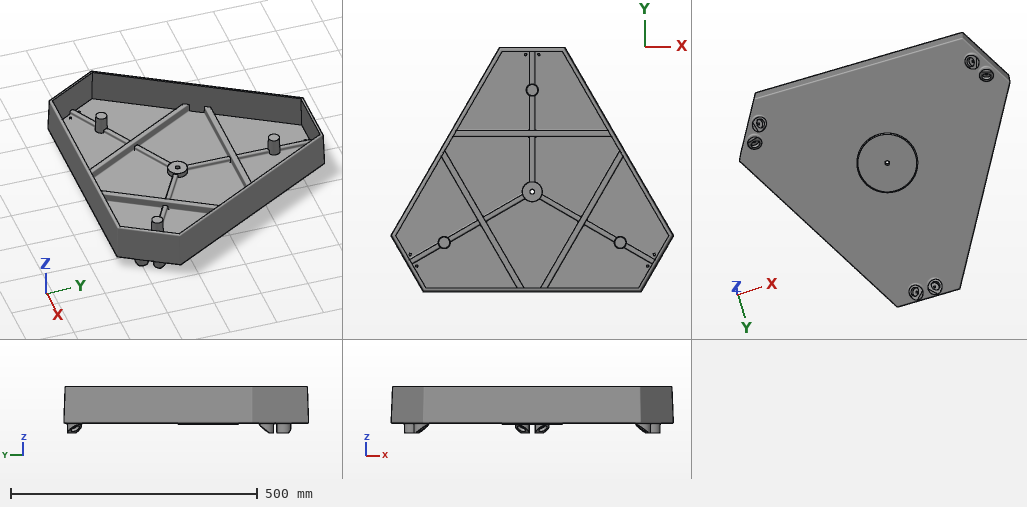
import cadquery as cq
import math

overall_width = 572.5
long_side_distance = 204.0
corner_radius = 3.0
rim_height = 75.0
draft_angle = 2
wall = 6.5
floor = 5.0
edge_radius = 3.0

hub_radius = 20.5
hub_height = 10.5
hub_hole_radius = 4.5
post_radius = 12.5
post_height = 35.5
post_distance = 206

spoke_width = 10.5
spoke_height = 8.0
spoke_fillet = 2.5
cross_rib_width = 12.0
cross_rib_height = 17
cross_rib_distance = 118.0
cross_rib_fillet = 2.0

pad_radius = 62.0
pad_height = 3.0
pad_chamfer = 2.5

foot_radius = 14.5
foot_height = 20.0
foot_flare = 3.5
foot_spacing = 40
foot_distance = 271.5
foot_direction = 45
cut_angle = 37
pocket_radius = 9.0
pocket_depth = 7.0
pocket_shift = 3.0
screw_radius = 2.0
screw_length = 28.5

root3 = math.sqrt(3)
draft_slope = math.tan(math.radians(draft_angle))
tip_overshoot = corner_radius * (2 / root3 - 1) + edge_radius * draft_slope
short_side_distance = root3 * (overall_width / 2 + tip_overshoot) - long_side_distance
three_turns = (0, 120, 240)
arc_middle = 1 - math.sqrt(0.5)


def outline(inset):
    """Corner points of the tray outline, moved inwards by inset."""
    short = short_side_distance - inset
    half_length = (2 * (long_side_distance - inset) - short) / root3
    points = []
    for turn in three_turns:
        c = math.cos(math.radians(turn))
        s = math.sin(math.radians(turn))
        for x in (half_length, -half_length):
            points.append((x * c - short * s, x * s + short * c))
    return points


def three_times(body):
    """The body and its two copies turned about the hub axis."""
    copies = body
    for turn in three_turns[1:]:
        copies = copies.union(body.rotate((0, 0, 0), (0, 0, 1), turn))
    return copies


def make_shell():
    outer = cq.Workplane().polyline(outline(0)).close().extrude(rim_height, taper=draft_angle)
    outer = outer.edges("not #Z").fillet(corner_radius)
    return outer.faces("<Z or >Z").edges().fillet(edge_radius)


def make_cavity():
    return (
        cq.Workplane()
        .workplane(offset=floor)
        .polyline(outline(wall))
        .close()
        .extrude(rim_height - floor, taper=draft_angle)
    )


def make_rib(width, height, fillet):
    """Straight rib from the hub axis along +Y, rounded on top and blended into the floor."""
    side = width / 2
    top = floor + height
    mid = fillet * arc_middle
    half = (
        cq.Workplane("XZ")
        .lineTo(side + fillet, 0)
        .lineTo(side + fillet, floor)
        .threePointArc((side + mid, floor + mid), (side, floor + fillet))
        .lineTo(side, top - fillet)
        .threePointArc((side - mid, top - mid), (side - fillet, top))
        .lineTo(0, top)
        .close()
        .extrude(-overall_width)
    )
    return half.union(half.mirror("YZ"))


def make_ribs():
    spoke = make_rib(spoke_width, spoke_height, spoke_fillet)
    cross = (
        make_rib(cross_rib_width, cross_rib_height, cross_rib_fillet)
        .translate((0, -overall_width / 2, 0))
        .rotate((0, 0, 0), (0, 0, 1), 90)
        .translate((0, cross_rib_distance, 0))
    )
    return three_times(spoke.union(cross))


def make_posts():
    post = cq.Workplane().center(0, post_distance).circle(post_radius)
    post = post.extrude(floor + post_height, taper=draft_angle)
    return three_times(post)


def make_hub():
    return cq.Workplane().circle(hub_radius).extrude(floor + hub_height, taper=draft_angle)


def make_hub_hole():
    """Hole through the hub, the floor and the pad."""
    depth = pad_height + floor + hub_height
    return cq.Workplane().workplane(offset=-pad_height).circle(hub_hole_radius).extrude(depth)


def make_pad():
    pad = cq.Workplane().circle(pad_radius).extrude(-pad_height)
    return pad.faces("<Z").chamfer(pad_chamfer)


def slope_plane():
    """Plane of the slanted cut, facing down and towards -X, its origin at the pocket centre."""
    slope = math.radians(cut_angle)
    depth = (foot_radius + foot_flare - pocket_shift) * math.tan(slope)
    return cq.Plane(
        origin=(-pocket_shift, 0, -depth),
        xDir=(0, 1, 0),
        normal=(-math.sin(slope), 0, -math.cos(slope)),
    )


def make_foot():
    """Foot under the origin: flared cylinder with a slanted cut and a pocket sunk into the cut."""
    root_radius = foot_radius + foot_flare
    mid = foot_flare * arc_middle
    foot = (
        cq.Workplane("XZ")
        .lineTo(-root_radius, 0)
        .threePointArc((-foot_radius - mid, -mid), (-foot_radius, -foot_flare))
        .lineTo(-foot_radius, -foot_height)
        .lineTo(0, -foot_height)
        .close()
        .revolve(360, (0, 0, 0), (0, 1, 0))
    )
    cutter_size = 6 * foot_radius
    slope_cutter = cq.Workplane(slope_plane()).rect(cutter_size, cutter_size).extrude(cutter_size)
    pocket = cq.Workplane(slope_plane()).circle(pocket_radius).extrude(-pocket_depth)
    return foot.cut(slope_cutter).cut(pocket)


def make_screw_hole():
    """Hole on the pocket axis, running up through the floor."""
    return cq.Workplane(slope_plane()).circle(screw_radius).extrude(-screw_length)


def place_at_feet(body):
    """Six copies of a body made for a foot under the origin, one for each foot."""
    left = body.rotate((0, 0, 0), (0, 0, 1), foot_direction)
    left = left.translate((-foot_spacing / 2, foot_distance, 0))
    return three_times(left.union(left.mirror("YZ")))


shell = make_shell()
interior = make_ribs().union(make_posts()).union(make_hub())
result = shell.cut(make_cavity()).union(interior.intersect(shell))
result = result.union(make_pad()).union(place_at_feet(make_foot()))
result = result.cut(place_at_feet(make_screw_hole())).cut(make_hub_hole())